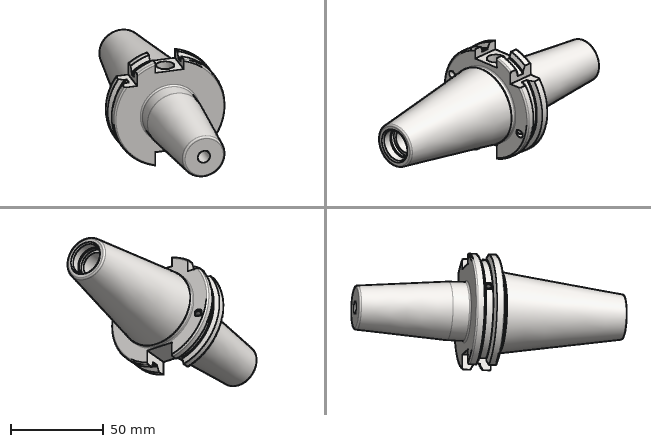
import cadquery as cq
import math

TOTAL_LENGTH = 148.4
GAUGE_X = 68.4
RELIEF_START_X = 69.0
FLANGE_START_X = 71.5
FLANGE_WIDTH = 15.9
FLANGE_END_X = FLANGE_START_X + FLANGE_WIDTH
NOSE_CONE_X = 97.4

TAPER_RATIO = 7 / 24
GAUGE_DIAMETER = 44.5
RELIEF_DIAMETER = 43.8
TAPER_END_ROUND = 1.0
RELIEF_FILLET = 0.5

FLANGE_DIAMETER = 63.4
FLANGE_EDGE_ROUND = 0.9
GROOVE_DIAMETER = 56.5
GROOVE_X = 79.4
GROOVE_FLOOR_WIDTH = 4.0
GROOVE_MOUTH_WIDTH = 7.0
GROOVE_WALL_ANGLE = 30.0

NOSE_DIAMETER = 32.0
NOSE_TIP_DIAMETER = 24.0
NOSE_FILLET = 0.9
NOSE_TIP_ROUND = 1.2

MOUTH_DIAMETER = 19.1
MOUTH_HALF_ANGLE = 35.0
LEAD_DIAMETER = 17.7
LEAD_DEPTH = 5.8
LEAD_TRANSITION = 0.6
PILOT_DIAMETER = 17.0
PILOT_DEPTH = 8.3
THREAD_DIAMETER = 13.8
THREAD_DEPTH = 29.7
THROUGH_DIAMETER = 7.0
DRILL_HALF_ANGLE = 59.0

SLOT_WIDTH = 16.2
TOP_SLOT_FLOOR = 25.0
BOTTOM_SLOT_FLOOR = 22.4
NOTCH_FLOOR = 18.5
CHIP_DIAMETER = 10.0
CHIP_DEPTH = 4.6

COOLANT_ANGLE = 20.0
COOLANT_RADIUS = 27.0
COOLANT_SEAT_DIAMETER = 4.0
COOLANT_SEAT_DEPTH = 2.4
COOLANT_DIAMETER = 3.3
COOLANT_TILT = 35.0
VENT_SEAT_DEPTH = 1.2

EDGE_MARGIN = 0.1


def make_body():
    """Turned outside shape: taper, relief, grooved flange and nose."""
    gauge_r = GAUGE_DIAMETER / 2
    relief_r = RELIEF_DIAMETER / 2
    flange_r = FLANGE_DIAMETER / 2
    groove_r = GROOVE_DIAMETER / 2
    small_end_r = gauge_r - GAUGE_X * TAPER_RATIO / 2
    floor_half = GROOVE_FLOOR_WIDTH / 2
    mouth_half = GROOVE_MOUTH_WIDTH / 2
    flare_r = flange_r - (mouth_half - floor_half) / math.tan(math.radians(GROOVE_WALL_ANGLE))
    nose_r = NOSE_DIAMETER / 2
    profile = [
        (0, 0),
        (0, small_end_r),
        (GAUGE_X, gauge_r),
        (RELIEF_START_X, relief_r),
        (FLANGE_START_X, relief_r),
        (FLANGE_START_X, flange_r),
        (GROOVE_X - mouth_half, flange_r),
        (GROOVE_X - floor_half, flare_r),
        (GROOVE_X - floor_half, groove_r),
        (GROOVE_X + floor_half, groove_r),
        (GROOVE_X + floor_half, flare_r),
        (GROOVE_X + mouth_half, flange_r),
        (FLANGE_END_X, flange_r),
        (FLANGE_END_X, nose_r),
        (NOSE_CONE_X, nose_r),
        (TOTAL_LENGTH, NOSE_TIP_DIAMETER / 2),
        (TOTAL_LENGTH, 0),
    ]
    body = cq.Workplane("XY").polyline(profile).close().revolve(360, (0, 0, 0), (1, 0, 0))
    body = body.faces("<X").edges().fillet(TAPER_END_ROUND)
    body = body.faces(">X").edges().fillet(NOSE_TIP_ROUND)
    for x in (FLANGE_START_X, FLANGE_END_X):
        body = fillet_ring(body, x, flange_r, FLANGE_EDGE_ROUND)
    body = fillet_ring(body, FLANGE_START_X, relief_r, RELIEF_FILLET)
    return fillet_ring(body, FLANGE_END_X, nose_r, NOSE_FILLET)


def disc_selector(x, radius):
    """Selects edges near station x lying entirely within the given radius."""
    low = (x - EDGE_MARGIN, -radius, -radius)
    high = (x + EDGE_MARGIN, radius, radius)
    return cq.selectors.BoxSelector(low, high, boundingbox=True)


def fillet_ring(body, x, radius, fillet):
    """Round the circular edge of the given radius lying at station x."""
    ring = disc_selector(x, radius + EDGE_MARGIN) - disc_selector(x, radius - EDGE_MARGIN)
    return body.edges(ring).fillet(fillet)


def make_bore():
    """Stepped bore with a drill point leading into the through hole."""
    mouth_r = MOUTH_DIAMETER / 2
    lead_r = LEAD_DIAMETER / 2
    pilot_r = PILOT_DIAMETER / 2
    thread_r = THREAD_DIAMETER / 2
    through_r = THROUGH_DIAMETER / 2
    mouth_length = (mouth_r - lead_r) / math.tan(math.radians(MOUTH_HALF_ANGLE))
    point_length = (thread_r - through_r) / math.tan(math.radians(DRILL_HALF_ANGLE))
    profile = [
        (0, 0),
        (0, mouth_r),
        (mouth_length, lead_r),
        (LEAD_DEPTH, lead_r),
        (LEAD_DEPTH + LEAD_TRANSITION, pilot_r),
        (PILOT_DEPTH, pilot_r),
        (PILOT_DEPTH, thread_r),
        (THREAD_DEPTH, thread_r),
        (THREAD_DEPTH + point_length, through_r),
        (TOTAL_LENGTH, through_r),
        (TOTAL_LENGTH, 0),
    ]
    return cq.Workplane("XY").polyline(profile).close().revolve(360, (0, 0, 0), (1, 0, 0))


def flange_block(y_min, y_max, z_min, z_max):
    """Block spanning exactly the width of the flange."""
    block = cq.Workplane("XY").box(FLANGE_WIDTH, y_max - y_min, z_max - z_min, centered=False)
    return block.translate((FLANGE_START_X, y_min, z_min))


def make_flange_cuts():
    """Two driving slots, the corner notch and the data chip pocket."""
    outside = FLANGE_DIAMETER
    half = SLOT_WIDTH / 2
    top_slot = flange_block(-half, half, TOP_SLOT_FLOOR, outside)
    bottom_slot = flange_block(-half, half, -outside, -BOTTOM_SLOT_FLOOR)
    notch = flange_block(-outside, -NOTCH_FLOOR, NOTCH_FLOOR, outside)
    chip = cq.Workplane("XY").circle(CHIP_DIAMETER / 2).extrude(CHIP_DEPTH)
    chip = chip.translate((GROOVE_X, 0, TOP_SLOT_FLOOR - CHIP_DEPTH))
    return top_slot.union(bottom_slot).union(notch).union(chip)


def stepped_drill(entry, inward, length, seat_depth):
    """Coolant drilling with a wider seat at its mouth; the seat also reaches back out of the part."""
    overrun = COOLANT_SEAT_DIAMETER
    start = entry - inward * overrun
    seat = cq.Solid.makeCylinder(COOLANT_SEAT_DIAMETER / 2, overrun + seat_depth, start, inward)
    drilling = cq.Solid.makeCylinder(COOLANT_DIAMETER / 2, length, entry, inward)
    return cq.Workplane(seat).union(cq.Workplane(drilling))


def make_coolant_channel():
    """Inclined channel from the flange face, met by a radial vent from the groove floor."""
    tilt = math.radians(COOLANT_TILT)
    run = GROOVE_X - FLANGE_START_X
    face_entry = cq.Vector(FLANGE_START_X, COOLANT_RADIUS, 0)
    slope = cq.Vector(math.cos(tilt), -math.sin(tilt), 0)
    channel = stepped_drill(face_entry, slope, run / math.cos(tilt), COOLANT_SEAT_DEPTH)
    groove_r = GROOVE_DIAMETER / 2
    meeting_r = COOLANT_RADIUS - run * math.tan(tilt)
    groove_entry = cq.Vector(GROOVE_X, groove_r, 0)
    vent = stepped_drill(groove_entry, cq.Vector(0, -1, 0), groove_r - meeting_r, VENT_SEAT_DEPTH)
    return channel.union(vent)


result = make_body().cut(make_bore()).cut(make_flange_cuts())
for angle in (COOLANT_ANGLE, COOLANT_ANGLE + 180):
    result = result.cut(make_coolant_channel().rotate((0, 0, 0), (1, 0, 0), angle))